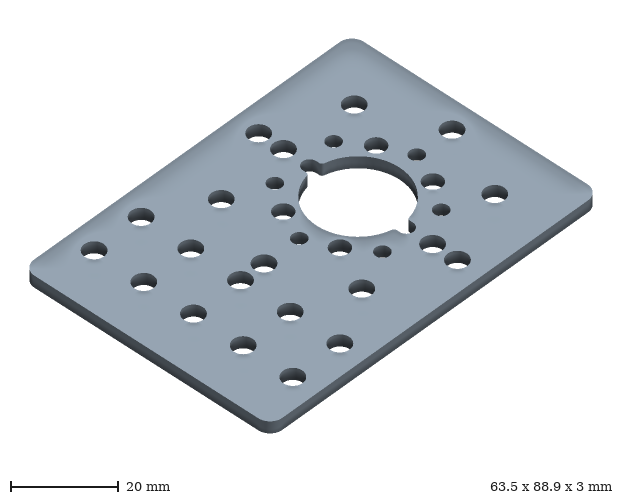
import cadquery as cq
import math

length = 88.9
pitch = length / 7
width = 5 * pitch
thickness = 3.0
corner_radius = pitch / 4

hub_y = length / 2 - 2.5 * pitch
bore_diameter = 22.2
notch_width = 3.6
notch_reach = 14.1
notch_mouth_radius = 0.7

mount_hole_diameter = 5.0
mount_circle_radius = 2 * pitch
inner_mount_offset = 1.5 * pitch
hub_hole_diameter = 4.5
hub_circle_radius = 14.5
small_hole_diameter = 3.5
small_circle_radius = 1.25 * pitch

grid_columns = 5
grid_rows = 2
grid_y = -length / 2 + 1.5 * pitch


def polar_points(radius, angles):
    """Points on a circle about the bore centre, at angles in degrees."""
    return [
        (radius * math.cos(math.radians(angle)), hub_y + radius * math.sin(math.radians(angle)))
        for angle in angles
    ]


def drill(body, points, diameter):
    """Drill through holes at the given plate positions."""
    return body.faces(">Z").workplane(origin=(0, 0, 0)).pushPoints(points).hole(diameter)


def bore_cutter():
    """Round bore joined to a slot, with the notch mouths rounded over."""
    hub_plane = cq.Workplane("XY").center(0, hub_y)
    bore = hub_plane.circle(bore_diameter / 2).extrude(thickness)
    slot = hub_plane.slot2D(2 * notch_reach, notch_width).extrude(thickness)
    mouth_edges = cq.selectors.BoxSelector(
        (-bore_diameter / 2, hub_y - notch_width, -thickness),
        (bore_diameter / 2, hub_y + notch_width, 2 * thickness),
    )
    return bore.union(slot).edges("|Z").edges(mouth_edges).fillet(notch_mouth_radius)


plate = cq.Workplane("XY").box(width, length, thickness, centered=(True, True, False))
plate = plate.edges("|Z").fillet(corner_radius)
plate = plate.cut(bore_cutter())

plate = drill(plate, polar_points(mount_circle_radius, range(0, 360, 45)), mount_hole_diameter)
plate = drill(plate, polar_points(inner_mount_offset, (0, 180)), mount_hole_diameter)
plate = drill(plate, polar_points(hub_circle_radius, (60, 120, 240, 300)), hub_hole_diameter)
plate = drill(plate, polar_points(small_circle_radius, range(30, 360, 60)), small_hole_diameter)

grid_points = [
    ((column - (grid_columns - 1) / 2) * pitch, grid_y + (row - (grid_rows - 1) / 2) * pitch)
    for column in range(grid_columns)
    for row in range(grid_rows)
]
result = drill(plate, grid_points, mount_hole_diameter)